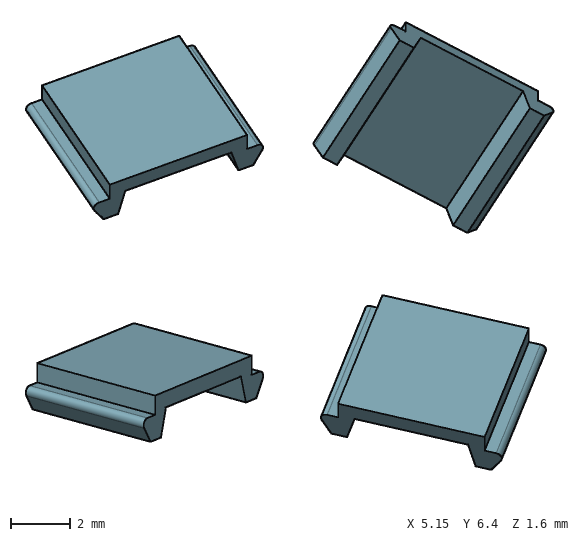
import cadquery as cq
import math

length = 5.15
width = 6.4
height = 1.6

plate_width = 5.185
plate_thickness = 0.59

lip_top = 0.91
lip_radius = 0.21
lip_slope = 60.0
gap_width_top = 4.005
gap_width_bottom = 4.545

underside = height - plate_thickness

tangent_length = lip_radius / math.tan(math.radians(lip_slope / 2))
lip_corner = width / 2 - lip_radius + tangent_length
foot_edge = lip_corner - lip_top / math.tan(math.radians(lip_slope))

half_outline = [
    (plate_width / 2, height),
    (plate_width / 2, lip_top),
    (lip_corner, lip_top),
    (foot_edge, 0),
    (gap_width_bottom / 2, 0),
    (gap_width_top / 2, underside),
]
mirrored_outline = [(-y, z) for y, z in reversed(half_outline)]

clip = (
    cq.Workplane("YZ")
    .polyline(half_outline + mirrored_outline)
    .close()
    .extrude(length / 2, both=True)
)

result = clip.edges("<Y or >Y").edges("|X").fillet(lip_radius)